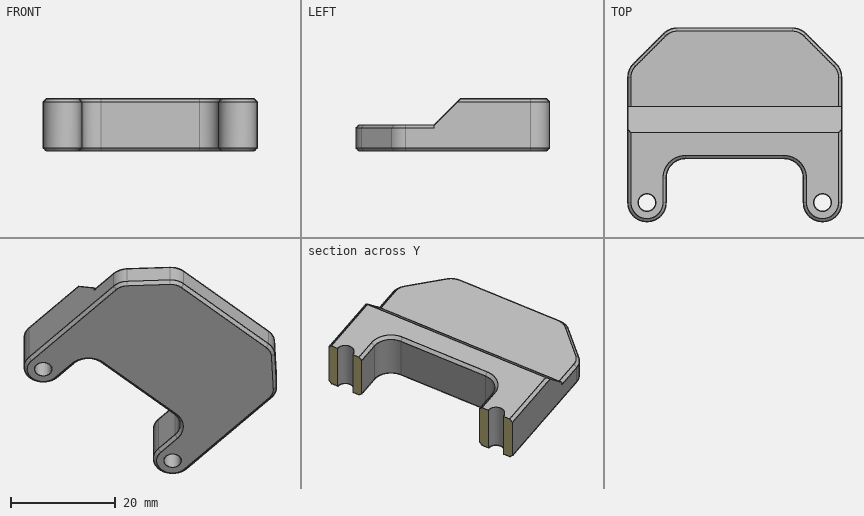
import cadquery as cq

width = 40.85
depth = 37.0
height = 10.0
plate_height = height / 2

corner_radius = 3.67
leg_width = 2 * corner_radius
slot_depth = 12.05
back_corner_cut = 7.92
hole_diameter = 3.3
edge_chamfer = 0.6

ramp_top_y = 17.03
ramp_foot_y = ramp_top_y + height - plate_height

half_width = width / 2
slot_half_width = half_width - leg_width
leg_center_x = half_width - leg_width / 2


def outline_body(body_height):
    """U-shaped outline with rounded corners, chamfered along its top and bottom edges."""
    body = (
        cq.Workplane("XY")
        .moveTo(-half_width, corner_radius)
        .lineTo(-half_width, depth - back_corner_cut)
        .lineTo(-half_width + back_corner_cut, depth)
        .lineTo(half_width - back_corner_cut, depth)
        .lineTo(half_width, depth - back_corner_cut)
        .lineTo(half_width, corner_radius)
        .threePointArc((leg_center_x, 0), (slot_half_width, corner_radius))
        .lineTo(slot_half_width, slot_depth)
        .lineTo(-slot_half_width, slot_depth)
        .lineTo(-slot_half_width, corner_radius)
        .threePointArc((-leg_center_x, 0), (-half_width, corner_radius))
        .close()
        .extrude(body_height)
    )
    sharp_corners = cq.selectors.BoxSelector(
        (-width, slot_depth / 2, 0), (width, 2 * depth, body_height)
    )
    body = body.edges("|Z").edges(sharp_corners).fillet(corner_radius)
    return body.faces("<Z or >Z").edges().chamfer(edge_chamfer)


ramp_profile = (
    cq.Workplane("YZ")
    .moveTo(0, 0)
    .lineTo(ramp_foot_y, 0)
    .lineTo(ramp_foot_y, plate_height)
    .lineTo(ramp_top_y, height)
    .lineTo(0, height)
    .close()
    .extrude(half_width, both=True)
)

plate = outline_body(plate_height)
raised_front = outline_body(height).intersect(ramp_profile)

leg_holes = (
    cq.Workplane("XY")
    .pushPoints([(-leg_center_x, corner_radius), (leg_center_x, corner_radius)])
    .circle(hole_diameter / 2)
    .extrude(height)
)

result = plate.union(raised_front).cut(leg_holes)